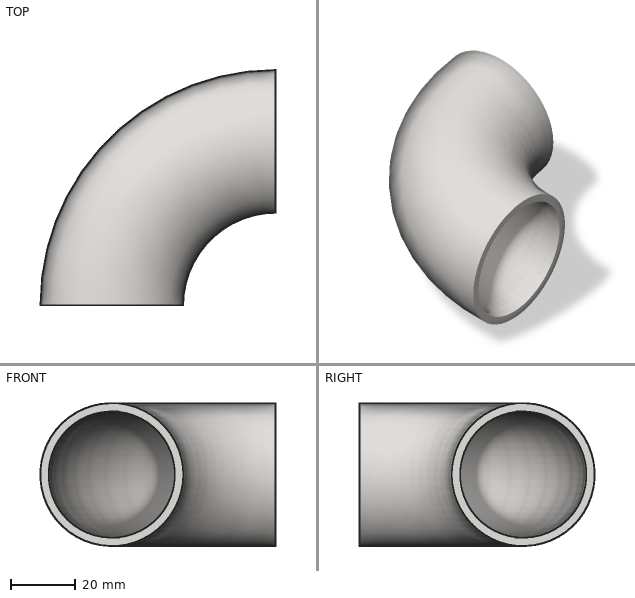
import cadquery as cq

outer_diameter = 44.5
wall_thickness = 2.6
bend_radius = 51.0
bend_angle = 90.0

outer_radius = outer_diameter / 2
bore_radius = outer_radius - wall_thickness


def make_elbow():
    """Revolve the ring-shaped pipe section about the vertical bend axis.

    One end lies in the XZ plane, centred on the origin and facing -Y.
    The other end faces +X, centred at (bend_radius, bend_radius, 0).
    """
    pipe_section = cq.Workplane("XZ").circle(outer_radius).circle(bore_radius)
    axis_start = (bend_radius, 0)
    axis_end = (bend_radius, -1)
    return pipe_section.revolve(bend_angle, axis_start, axis_end)


result = make_elbow()